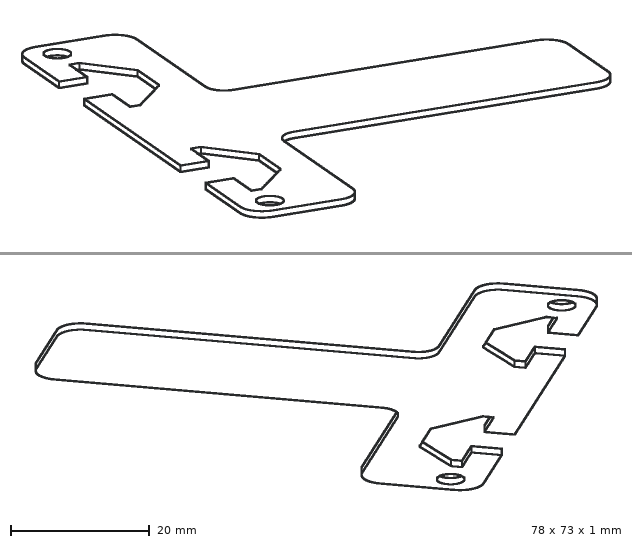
import cadquery as cq

thickness = 1.0
bar_width = 78.0
bar_height = 18.0
stem_width = 20.0
total_height = 73.0
outer_radius = 3.5
inner_radius = 3.0

slot_offset = 20.0
neck_width = 8.2
cavity_width = 20.0
roof_width = 7.1
lip_height = 4.5
shoulder_height = 6.1
roof_height = 12.3

hole_diameter = 4.0
hole_edge_distance = 4.0
hole_height = 5.0


def make_plate():
    """T-shaped plate with rounded outer corners and filleted inner corners."""
    half_bar = bar_width / 2
    half_stem = stem_width / 2
    plate = (
        cq.Workplane("XY")
        .polyline([
            (-half_bar, 0),
            (half_bar, 0),
            (half_bar, bar_height),
            (half_stem, bar_height),
            (half_stem, total_height),
            (-half_stem, total_height),
            (-half_stem, bar_height),
            (-half_bar, bar_height),
        ])
        .close()
        .extrude(thickness)
    )
    inner_corners = [(side * half_stem, bar_height, thickness / 2) for side in (-1, 1)]
    for corner in inner_corners:
        nearest_edge = cq.selectors.NearestToPointSelector(corner)
        plate = plate.edges(nearest_edge).fillet(inner_radius)
    bar_end_edges = plate.faces("<X or >X").edges("|Z")
    plate = bar_end_edges.fillet(outer_radius)
    return plate.faces(">Y").edges("|Z").fillet(outer_radius)


def make_slot(center_x):
    """Cutter for one T-slot: narrow neck, wide cavity and tapered roof."""
    right_side = [
        (neck_width / 2, 0),
        (neck_width / 2, lip_height),
        (cavity_width / 2, lip_height),
        (cavity_width / 2, shoulder_height),
        (roof_width / 2, roof_height),
    ]
    left_side = [(-x, y) for x, y in reversed(right_side)]
    return (
        cq.Workplane("XY")
        .polyline(right_side + left_side)
        .close()
        .extrude(thickness)
        .translate((center_x, 0, 0))
    )


def make_hole(center_x):
    """Cutter for one round through hole."""
    return (
        cq.Workplane("XY")
        .center(center_x, hole_height)
        .circle(hole_diameter / 2)
        .extrude(thickness)
    )


result = make_plate()
for side in (-1, 1):
    result = result.cut(make_slot(side * slot_offset))
    result = result.cut(make_hole(side * (bar_width / 2 - hole_edge_distance)))